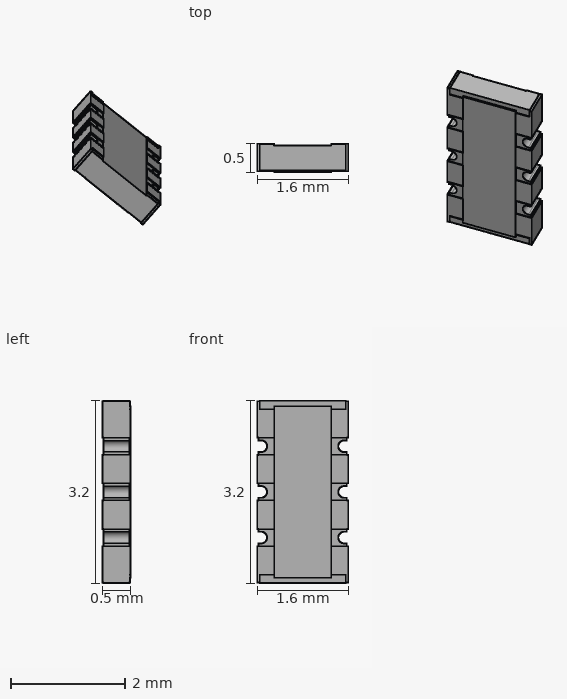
import cadquery as cq

WIDTH = 1.6
DEPTH = 0.5
HEIGHT = 3.2

SIDE_RECESS = 0.025
FACE_PLATING = 0.015
COVER_RISE = 0.015

COVER_WIDTH = 1.0
COVER_HEIGHT = 3.0

CHANNEL_DEPTH = 0.015

PITCH = 0.8
TERMINAL_GAP = 0.3
END_SETBACK = 0.01
END_WINDOW_WIDTH = 1.51
END_WINDOW_HEIGHT = 0.15

NOTCH_RADIUS = 0.1
NOTCH_DEPTH = 0.15

BACK_Y = DEPTH / 2
COVER_Y = -DEPTH / 2
TERMINAL_FRONT_Y = COVER_Y + COVER_RISE
BODY_FRONT_Y = TERMINAL_FRONT_Y + FACE_PLATING
BODY_BACK_Y = BACK_Y - FACE_PLATING
BODY_HALF_WIDTH = WIDTH / 2 - SIDE_RECESS
NOTCH_LEVELS = (-PITCH, 0, PITCH)


def box(x_range, y_range, z_range):
    """Axis-aligned block spanning three (low, high) ranges."""
    size = [high - low for low, high in (x_range, y_range, z_range)]
    corner = (x_range[0], y_range[0], z_range[0])
    return cq.Workplane("XY").box(*size, centered=False).translate(corner)


def centred(length):
    """Range of the given length about zero."""
    return (-length / 2, length / 2)


def make_body():
    """Ceramic block over the full height."""
    return box(centred(2 * BODY_HALF_WIDTH), (BODY_FRONT_Y, BODY_BACK_Y), centred(HEIGHT))


def make_terminals():
    """Terminal wraps on both sides, split by gaps and open around the ends of the body."""
    terminal_y = (TERMINAL_FRONT_Y, BACK_Y)
    wraps = box(centred(WIDTH), terminal_y, centred(HEIGHT - 2 * END_SETBACK))
    wraps = wraps.cut(box(centred(COVER_WIDTH), terminal_y, centred(HEIGHT)))
    for level in NOTCH_LEVELS:
        gap_z = (level - TERMINAL_GAP / 2, level + TERMINAL_GAP / 2)
        wraps = wraps.cut(box(centred(WIDTH), terminal_y, gap_z))
    window_inner_z = HEIGHT / 2 - END_WINDOW_HEIGHT
    for window_z in ((window_inner_z, HEIGHT / 2), (-HEIGHT / 2, -window_inner_z)):
        wraps = wraps.cut(box(centred(END_WINDOW_WIDTH), terminal_y, window_z))
    return wraps


def trim_body_ends(body):
    """Narrow each end of the body to the window width, so the terminal ends stay in view."""
    end_z = HEIGHT / 2 - END_SETBACK
    for trim_z in ((end_z, HEIGHT / 2), (-HEIGHT / 2, -end_z)):
        for trim_x in (
            (END_WINDOW_WIDTH / 2, WIDTH / 2),
            (-WIDTH / 2, -END_WINDOW_WIDTH / 2),
        ):
            body = body.cut(box(trim_x, (COVER_Y, BACK_Y), trim_z))
    return body


def make_cover():
    """Raised plate on the front face."""
    return box(centred(COVER_WIDTH), (COVER_Y, BODY_FRONT_Y), centred(COVER_HEIGHT))


def make_back_channel():
    """Shallow full-height channel in the back face of the body."""
    channel_y = (BODY_BACK_Y - CHANNEL_DEPTH, BODY_BACK_Y)
    return box(centred(COVER_WIDTH), channel_y, centred(HEIGHT))


def make_notches():
    """Round-bottomed side notches running through the depth."""
    centre_x = BODY_HALF_WIDTH - NOTCH_DEPTH + NOTCH_RADIUS
    slot_length = 2 * (WIDTH / 2 - centre_x + NOTCH_RADIUS)
    centres = [(side * WIDTH / 2, level) for side in (-1, 1) for level in NOTCH_LEVELS]
    return (
        cq.Workplane("XZ", origin=(0, BACK_Y, 0))
        .pushPoints(centres)
        .slot2D(slot_length, 2 * NOTCH_RADIUS)
        .extrude(DEPTH)
    )


body = trim_body_ends(make_body()).cut(make_back_channel())
result = body.union(make_terminals()).union(make_cover()).cut(make_notches())